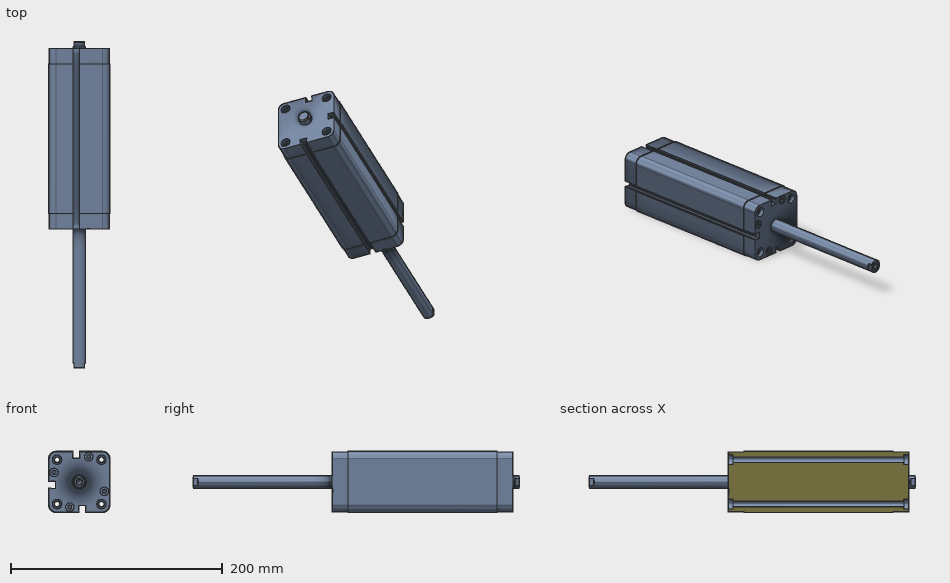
import cadquery as cq
import math

total_length = 308.5
front_rod_length = 131.5
back_rod_length = 6.2
cap_length = 14.8
rod_front_y = -total_length / 2
rod_back_y = total_length / 2
cap_front_y = rod_front_y + front_rod_length
cap_back_y = rod_back_y - back_rod_length
barrel_front_y = cap_front_y + cap_length
barrel_back_y = cap_back_y - cap_length

barrel_width = 58.0
cap_inset = 0.5
cap_width = barrel_width - 2 * cap_inset
barrel_corner_radius = 7.0
cap_corner_radius = barrel_corner_radius - cap_inset

slot_depth = 6.5
slot_width = 6.5
slot_mouth_width = 6.0
slot_offset = -2.8
slot_lip_thickness = 2.2
slot_overshoot = 3.0
slot_angles = (0, 90, 180)

mount_offset = 21.0
mount_hole_diameter = 5.0
mount_bore_diameter = 9.0
mount_bore_depth = 4.5

screw_across = 9.0
screw_out = 23.8
screw_recess_diameter = 8.0
screw_recess_depth = 0.5
socket_across_flats = 3.7
socket_across_corners = socket_across_flats / math.cos(math.pi / 6)
socket_depth = 2.5
hexagon_turn = 30

rod_diameter = 12.0
rod_chamfer_length = 0.5
rod_chamfer_depth = 1.2
rod_clearance_diameter = 13.5
rod_clearance_depth = 2.0
flat_width = 10.2
flat_length = 4.3
flat_runout = 0.5
end_hole_diameter = 5.0
end_hole_depth = 15.5
countersink_diameter = 6.2
countersink_depth = 0.5
drill_tip_angle = 120


def cylinder(diameter, y_start, y_end, x=0, z=0):
    """Cylinder along Y, whose axis passes through x and z."""
    direction = cq.Vector(0, y_end - y_start, 0)
    solid = cq.Solid.makeCylinder(diameter / 2, abs(y_end - y_start), cq.Vector(x, y_start, z), direction)
    return cq.Workplane(obj=solid)


def section(y):
    """Sketch plane across the part, with local x along X and local y along Z."""
    return cq.Workplane("XZ", origin=(0, y, 0))


def rounded_block(width, radius, y_start, y_end):
    block = section(y_start).rect(width, width).extrude(y_start - y_end)
    return block.edges("|Y").fillet(radius)


def sensor_slot():
    """Slot cutter for the +Z side, running through caps and barrel."""
    surface = barrel_width / 2
    top = surface + slot_overshoot
    floor = surface - slot_depth
    lip_bottom = surface - slot_lip_thickness
    half_width = slot_width / 2
    half_mouth = slot_mouth_width / 2
    outline = section(cap_front_y).center(slot_offset, 0).polyline([
        (-half_mouth, top),
        (-half_mouth, lip_bottom),
        (-half_width, lip_bottom),
        (-half_width, floor),
        (half_width, floor),
        (half_width, lip_bottom),
        (half_mouth, lip_bottom),
        (half_mouth, top),
    ])
    return outline.close().extrude(cap_front_y - cap_back_y)


def housing():
    body = rounded_block(barrel_width, barrel_corner_radius, barrel_front_y, barrel_back_y)
    for y_start, y_end in ((cap_front_y, barrel_front_y), (barrel_back_y, cap_back_y)):
        body = body.union(rounded_block(cap_width, cap_corner_radius, y_start, y_end))
    slot = sensor_slot()
    for angle in slot_angles:
        body = body.cut(slot.rotate((0, 0, 0), (0, 1, 0), -angle))
    return body


def mount_hole(x, z):
    """Through hole with a counterbore at each end."""
    hole = cylinder(mount_hole_diameter, cap_front_y, cap_back_y, x, z)
    front_bore = cylinder(mount_bore_diameter, cap_front_y, cap_front_y + mount_bore_depth, x, z)
    back_bore = cylinder(mount_bore_diameter, cap_back_y, cap_back_y - mount_bore_depth, x, z)
    return hole.union(front_bore).union(back_bore)


def screw_recess(quarter_turns):
    """Round recess with a hexagon socket in its floor, its corners pointing up and down."""
    x, z = screw_across, screw_out
    for _ in range(quarter_turns):
        x, z = z, -x
    recess = cylinder(screw_recess_diameter, cap_front_y, cap_front_y + screw_recess_depth, x, z)
    socket = section(cap_front_y).center(x, z).polygon(6, socket_across_corners)
    socket = socket.extrude(-screw_recess_depth - socket_depth)
    return recess.union(socket.rotate((x, 0, z), (x, 1, z), hexagon_turn))


def wrench_flat(rod_end, inward, side):
    """Cutter for one wrench flat, whose inner end slopes out to the rod surface."""
    flat_x = side * flat_width / 2
    rod_x = side * rod_diameter / 2
    flat_end = rod_end + inward * flat_length
    runout_end = flat_end + inward * flat_runout
    outline = cq.Workplane("XY", origin=(0, 0, -rod_diameter / 2)).polyline([
        (flat_x, rod_end),
        (flat_x, flat_end),
        (rod_x, runout_end),
        (rod_x, rod_end),
    ])
    return outline.close().extrude(rod_diameter)


def rod_end_hole():
    """Countersunk blind hole with a conical bottom, turned about the rod axis."""
    hole_radius = end_hole_diameter / 2
    tip_length = hole_radius / math.tan(math.radians(drill_tip_angle / 2))
    bottom_y = rod_front_y + end_hole_depth
    profile = cq.Workplane("XY").polyline([
        (0, rod_front_y),
        (countersink_diameter / 2, rod_front_y),
        (hole_radius, rod_front_y + countersink_depth),
        (hole_radius, bottom_y),
        (0, bottom_y + tip_length),
    ])
    return profile.close().revolve(360, (0, 0, 0), (0, 1, 0))


def piston_rod():
    rod = cylinder(rod_diameter, rod_front_y, rod_back_y)
    rod = rod.faces("<Y or >Y").chamfer(rod_chamfer_length, rod_chamfer_depth)
    for rod_end, inward in ((rod_front_y, 1), (rod_back_y, -1)):
        for side in (-1, 1):
            rod = rod.cut(wrench_flat(rod_end, inward, side))
    return rod.cut(rod_end_hole())


body = housing()
for x in (-mount_offset, mount_offset):
    for z in (-mount_offset, mount_offset):
        body = body.cut(mount_hole(x, z))
for quarter_turns in range(4):
    body = body.cut(screw_recess(quarter_turns))
body = body.cut(cylinder(rod_clearance_diameter, cap_front_y, cap_front_y + rod_clearance_depth))

result = body.union(piston_rod())